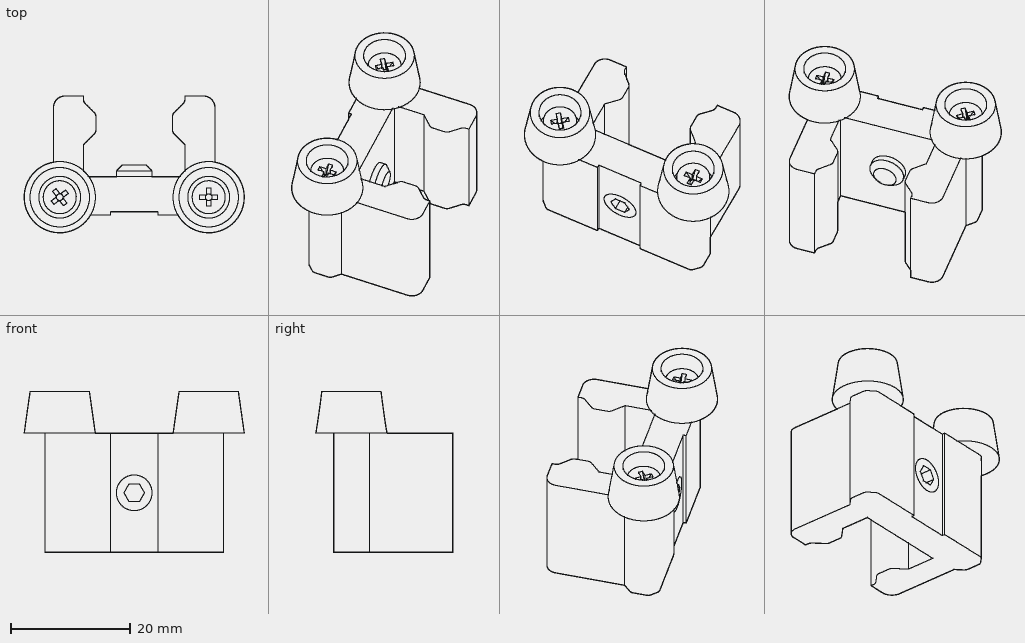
import cadquery as cq
import math

block_height = 20.0
block_depth = 20.0
base_half_width = 15.0
base_back = 6.43
base_chamfer = 1.45
base_step_back = 6.02
corner_round = 1.0
arm_half_width = base_half_width - base_chamfer
arm_inner = 8.5
arm_tip_round = 2.0
jaw_height = 2.1
jaw_front = 11.8
jaw_back = 19.0
groove_width = 7.95
groove_depth = 0.5

sides = (-1, 1)

total_height = 27.0
total_width = 36.95
foot_height = total_height - block_height
foot_base_radius = 6.0
foot_top_radius = 5.0
foot_bore_radius = 3.5
foot_floor = 2.0
foot_x = total_width / 2 - foot_base_radius
foot_y = 3.0

head_radius = 2.77
head_height = 2.4
shank_radius = 1.5
shank_depth = 8.0
recess_half_length = 1.5
recess_width = 0.75
recess_core_radius = 0.55
recess_depth = 1.7
recess_point_depth = 0.2
recess_angles = {-1: 37, 1: 0}

set_radius = 3.0
set_core_radius = 2.5
set_protrusion = 2.0
set_point_chamfer = 1.0
set_z = block_height / 2
socket_flats = 3.0
socket_depth = 3.0


def round_upright_edges(body, points, radius):
    """Fillet the edges parallel to Z that stand on the given outline points."""
    edges = []
    for x, y in points:
        nearest = cq.selectors.NearestToPointSelector((x, y, block_height / 2))
        edges.append(body.edges("|Z").edges(nearest).val())
    return cq.Workplane(body.val().fillet(radius, edges))


def make_block():
    """U-shaped block, mirrored about X = 0, with the groove and the screw holes cut."""
    jaw_inner = arm_inner - jaw_height
    base_corners = [
        (base_half_width - base_chamfer, 0),
        (base_half_width, base_chamfer),
        (base_half_width, base_step_back - base_chamfer),
    ]
    step_corner = (arm_half_width, base_step_back)
    arm_tip = (arm_half_width, block_depth)
    jaw_root = (arm_inner, jaw_back)
    jaw_corners = [
        (jaw_inner, jaw_back - jaw_height),
        (jaw_inner, jaw_front + jaw_height),
    ]
    right_half = [
        (0, 0),
        *base_corners,
        step_corner,
        arm_tip,
        (arm_inner, block_depth),
        jaw_root,
        *jaw_corners,
        (arm_inner, jaw_front),
        (arm_inner, base_back),
        (0, base_back),
    ]
    half = cq.Workplane("XY").polyline(right_half).close().extrude(block_height)
    half = round_upright_edges(half, base_corners, corner_round)
    half = round_upright_edges(half, [jaw_root, *jaw_corners], corner_round)
    half = round_upright_edges(half, [arm_tip], arm_tip_round)
    block = half.union(half.mirror("YZ"))

    groove = cq.Workplane("XY").rect(groove_width, 2 * groove_depth).extrude(block_height)
    set_hole = cq.Workplane("XZ", origin=(0, 0, set_z)).circle(set_radius).extrude(-base_back)
    block = block.cut(groove).cut(set_hole)
    for side in sides:
        shank_hole = (
            cq.Workplane("XY", origin=(side * foot_x, foot_y, block_height))
            .circle(shank_radius)
            .extrude(-shank_depth)
        )
        block = block.cut(shank_hole)
    return block


def make_foot(side):
    """Conical foot with a bore for the screw head and a hole for the shank."""
    profile = [
        (shank_radius, 0),
        (foot_base_radius, 0),
        (foot_top_radius, foot_height),
        (foot_bore_radius, foot_height),
        (foot_bore_radius, foot_floor),
        (shank_radius, foot_floor),
    ]
    foot = cq.Workplane("XZ").polyline(profile).close().revolve(360, (0, 0), (0, 1))
    return foot.translate((side * foot_x, foot_y, block_height))


def make_cross_recess():
    """Cutter for the cross recess, its mouth on Z = 0."""
    arm_profile = [
        (-recess_half_length, 0),
        (recess_half_length, 0),
        (recess_core_radius, -recess_depth),
        (-recess_core_radius, -recess_depth),
    ]
    arm = cq.Workplane("XZ").polyline(arm_profile).close().extrude(recess_width / 2, both=True)
    core_profile = [
        (0, 0),
        (recess_core_radius, 0),
        (recess_core_radius, -recess_depth),
        (0, -recess_depth - recess_point_depth),
    ]
    core = cq.Workplane("XZ").polyline(core_profile).close().revolve(360, (0, 0), (0, 1))
    return arm.union(arm.rotate((0, 0, 0), (0, 0, 1), 90)).union(core)


def make_foot_screw(side):
    """Flat-headed screw that holds a foot on the block."""
    shank_length = foot_floor + shank_depth
    head = cq.Workplane("XY").circle(head_radius).extrude(head_height)
    shank = cq.Workplane("XY").circle(shank_radius).extrude(-shank_length)
    recess = make_cross_recess().translate((0, 0, head_height))
    screw = head.union(shank).cut(recess)
    screw = screw.rotate((0, 0, 0), (0, 0, 1), recess_angles[side])
    return screw.translate((side * foot_x, foot_y, block_height + foot_floor))


def make_set_screw():
    """Set screw, flush with the groove, its chamfered end standing out behind the base."""
    length = base_back + set_protrusion - groove_depth
    front = cq.Workplane("XZ", origin=(0, groove_depth, set_z))
    thread = front.circle(set_radius).extrude(-length).faces(">Y").chamfer(set_point_chamfer)
    thread = thread.cut(front.circle(set_core_radius).extrude(-socket_depth))
    socket_corners = socket_flats / math.cos(math.pi / 6)
    socket = front.polygon(6, socket_corners).extrude(-socket_depth)
    core = front.circle(set_core_radius).extrude(-socket_depth).cut(socket)
    return thread.union(core, clean=False)


block = make_block()
feet = [make_foot(side) for side in sides]
foot_screws = [make_foot_screw(side) for side in sides]
set_screw = make_set_screw()

bodies = [block, *feet, *foot_screws, set_screw]
result = cq.Compound.makeCompound([body.solids().val() for body in bodies])